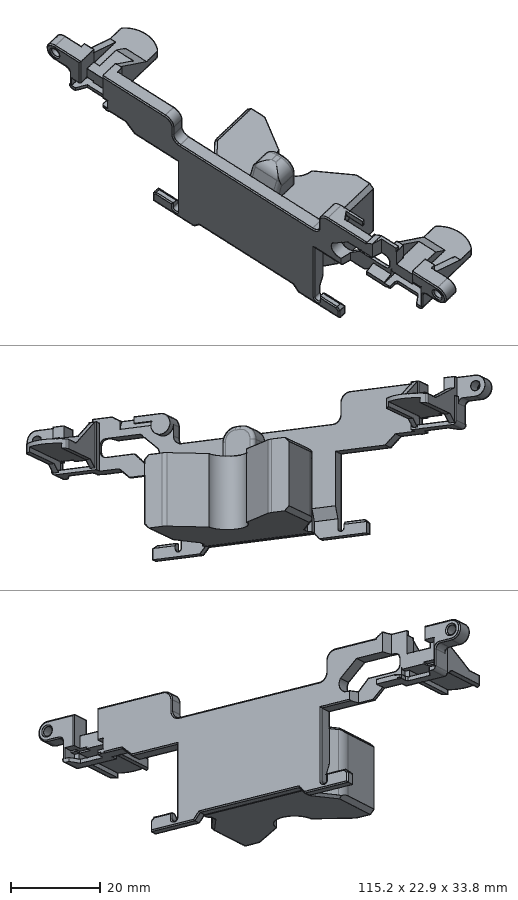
import cadquery as cq

plate_thickness = 3.17
edge_chamfer = 0.3
wing_top = 32.7
wing_underside = 21.65
wing_inner_x = 21.05
wing_outer_x = 41.5
wing_corner_radius = 2.4
wing_root_radius = 2.0
saddle_z = 25.65
shoulder_z = 19.36
shoulder_slope_x = (32.2, 34.8)
web_half_width = 19.7
web_bottom = 1.67
relief_slope_x = (13.5, 15.0)

foot_end_x = 26.9
foot_top = 3.3
foot_corner = 0.8
foot_notch_width = 1.5
foot_notch_bottom = 1.1
foot_thickness = 2.0
foot_bevel = 0.7
taper_z = (4.05, 6.8)

bracket_depth = 4.8
post_outer_x = -50.9
post_corner_radius = 0.9
post_gap_x = -47.8
inner_post_end_x = -39.6
lug_thickness = 3.7
lug_radius = 2.43
overall_length = 115.15
lug_center_x = -overall_length / 2 + lug_radius
lug_center_z = wing_top - lug_radius
lug_hole_radius = 1.15
lug_root_radius = 1.2
gap_wall_front = 2.4
gap_wall_top = 28.25
ledge_top = 22.6
window_x = (-49.1, -41.15)
window_front_x = (-50.3, -39.9)
window_front_top = 25.2
window_front_depth = 3.8
ledge_notch_floor_x = (-47.7, -41.8)
ledge_notch_mouth_x = (-49.2, -40.5)

arm_x = (-50.5, -40.0)
arm_mid_x = sum(arm_x) / 2
pad_top = 25.8
pad_bottom = 24.78
pad_tip_y = 20.0
pad_shoulder_y = 17.9
skirt_bottom = 23.65
pad_corner_radius = 1.0
skirt_slope_y = 7.0
skirt_root_z = 22.1
gusset_end_y = 13.9
outer_gusset_top = 30.1
outer_gusset_inner_x = -48.9
inner_gusset_outer_x = -41.2
block_outer_x = -46.1

guide_z = (1.5, 18.45)
guide_half_width = 18.15
guide_depth = 22.87
guide_tip_x = 13.2
guide_side_y = 11.2
guide_neck_x = 13.0
guide_neck_y = 4.6
guide_flare_y = 3.9
guide_root_x = 13.8
throat_radius = 4.75
throat_center_y = 17.8
throat_edge_x = 4.74
throat_edge_y = 17.5
guide_side_chamfer = 1.05
guide_flank_chamfer = 0.65
guide_corner_radius = 4.0
guide_tip_radius = 2.0
guide_root_fillet = 0.8
knob_half_width = 4.1
knob_front_y = 5.0
knob_crest_y = 7.9
knob_back_y = 12.65
knob_top = 25.5
knob_arch_radius = 3.5
knob_crest_radius = 3.0
knob_edge_radius = 1.0

raised_top = 33.8
raised_x = (35.6, 41.4)
raised_ramp = 0.9
recess_wall_run = 0.7
recess_x = (36.5, 50.5)
recess_lug_z = 29.4
lower_recess_x = 27.5
lower_recess_top = 26.0
shelf_x = (34.8, 40.5)
shelf_front_top = 22.8
shelf_back_top = 23.5
slot_z = (24.65, 29.0)
slot_bend_top_x = 29.4
slot_bend_bottom_x = 30.9
slot_end_lower = (28.5, 22.3)
slot_end_tip = (25.4, 22.2)
slot_end_upper = (25.0, 25.2)
slot_right_x = 39.5
slot_corner_radius = 1.5
bevel_x = (23.5, 34.5)
bevel_top_y = 2.3
bevel_height = 2.0
hook_back_y = 4.9
hook_root_x = 25.0
hook_root_flare = 1.6
hook_tip_x = 30.1
hook_tip_thickness = 0.6
hook_tip_height = 1.5


def box(x_range, y_range, z_range):
    """Box between the given limits."""
    size = [high - low for low, high in (x_range, y_range, z_range)]
    return cq.Workplane("XY").box(*size, centered=False).translate((x_range[0], y_range[0], z_range[0]))


def front_sketch(y=0.0):
    """Sketch plane parallel to the front face, at the given Y."""
    return cq.Workplane("XZ", origin=(0, y, 0))


def extrude_back(sketch, length):
    """Extrude a front sketch toward +Y."""
    return sketch.extrude(-length)


def side_prism(points, x_range):
    """Prism along X from (y, z) corner points."""
    sketch = cq.Workplane("YZ", origin=(x_range[0], 0, 0)).polyline(points).close()
    return sketch.extrude(x_range[1] - x_range[0])


def plan_prism(points, z_range):
    """Prism along Z from (x, y) corner points."""
    sketch = cq.Workplane("XY", origin=(0, 0, z_range[0])).polyline(points).close()
    return sketch.extrude(z_range[1] - z_range[0])


def mirror_x(body):
    return body.mirror("YZ")


def make_plate():
    """Symmetrical plate with wings, feet and a thinned bottom."""
    notch_outer_x = web_half_width + foot_notch_width
    notch_radius = foot_notch_width / 2
    half = (
        front_sketch()
        .moveTo(0, saddle_z)
        .lineTo(-wing_inner_x, saddle_z)
        .lineTo(-wing_inner_x, wing_top)
        .lineTo(-wing_outer_x, wing_top)
        .lineTo(-wing_outer_x, wing_underside)
        .lineTo(-shoulder_slope_x[1], wing_underside)
        .lineTo(-shoulder_slope_x[0], shoulder_z)
        .lineTo(-web_half_width, shoulder_z)
        .lineTo(-web_half_width, foot_notch_bottom + notch_radius)
        .threePointArc(
            (-web_half_width - notch_radius, foot_notch_bottom),
            (-notch_outer_x, foot_notch_bottom + notch_radius),
        )
        .lineTo(-notch_outer_x, foot_top)
        .lineTo(-foot_end_x + foot_corner, foot_top)
        .lineTo(-foot_end_x, foot_top - foot_corner)
        .lineTo(-foot_end_x, 0)
        .lineTo(-relief_slope_x[1], 0)
        .lineTo(-relief_slope_x[0], web_bottom)
        .lineTo(0, web_bottom)
        .close()
    )
    half = extrude_back(half, plate_thickness)
    corner = cq.selectors.NearestToPointSelector((-wing_inner_x, plate_thickness / 2, wing_top))
    root = cq.selectors.NearestToPointSelector((-wing_inner_x, plate_thickness / 2, saddle_z))
    half = half.edges(corner).fillet(wing_corner_radius).edges(root).fillet(wing_root_radius)
    plate = half.union(mirror_x(half))
    plate = plate.faces("<Y").edges().chamfer(edge_chamfer)
    thinned_back = side_prism(
        [
            (foot_thickness, 0),
            (foot_thickness, taper_z[0]),
            (plate_thickness, taper_z[1]),
            (plate_thickness, 0),
        ],
        (-foot_end_x, foot_end_x),
    )
    foot_bevel_waste = side_prism(
        [
            (foot_thickness, foot_top),
            (foot_thickness, foot_top - foot_bevel),
            (foot_thickness - foot_bevel, foot_top),
        ],
        (-foot_end_x, -notch_outer_x),
    )
    return plate.cut(thinned_back).cut(foot_bevel_waste).cut(mirror_x(foot_bevel_waste))


def make_lug():
    """Rounded lug with a countersunk hole, joined to the outer post."""
    lug_bottom = lug_center_z - lug_radius
    lug = (
        front_sketch()
        .moveTo(post_gap_x, wing_top)
        .lineTo(lug_center_x, wing_top)
        .threePointArc((lug_center_x - lug_radius, lug_center_z), (lug_center_x, lug_bottom))
        .lineTo(post_outer_x - lug_root_radius, lug_bottom)
        .radiusArc((post_outer_x, lug_bottom - lug_root_radius), lug_root_radius)
        .lineTo(post_outer_x, wing_underside)
        .lineTo(post_gap_x, wing_underside)
        .close()
    )
    lug = extrude_back(lug, lug_thickness)
    lug = lug.faces("<Y").edges().chamfer(edge_chamfer)
    hole_circle = front_sketch().center(lug_center_x, lug_center_z).circle(lug_hole_radius)
    hole = extrude_back(hole_circle, lug_thickness)
    countersink = cq.Solid.makeCone(
        lug_hole_radius + edge_chamfer,
        lug_hole_radius,
        edge_chamfer,
        pnt=cq.Vector(lug_center_x, 0, lug_center_z),
        dir=cq.Vector(0, 1, 0),
    )
    return lug.cut(hole).cut(cq.Workplane(countersink))


def make_corner_cutter():
    """Waste outside the rounded lower outer corner of the bracket."""
    corner_top = wing_underside + post_corner_radius
    cutter = (
        front_sketch()
        .moveTo(post_outer_x, corner_top)
        .lineTo(post_outer_x, wing_underside)
        .lineTo(post_outer_x + post_corner_radius, wing_underside)
        .radiusArc((post_outer_x, corner_top), post_corner_radius)
        .close()
    )
    return extrude_back(cutter, bracket_depth)


def make_bracket():
    """Lug, posts, gap wall and ledge of the -X end."""
    post_z = (wing_underside, wing_top)
    outer_post = box((arm_x[0], post_gap_x), (gap_wall_front, bracket_depth), post_z)
    inner_post = box((-wing_outer_x, inner_post_end_x), (gap_wall_front, bracket_depth), post_z)
    gap_wall = box(
        (post_outer_x, inner_post_end_x), (gap_wall_front, bracket_depth), (wing_underside, gap_wall_top)
    )
    ledge = box((post_outer_x, inner_post_end_x), (0, bracket_depth), (wing_underside, ledge_top))
    ledge_notch = plan_prism(
        [
            (ledge_notch_mouth_x[0], 0),
            (ledge_notch_floor_x[0], gap_wall_front),
            (ledge_notch_floor_x[1], gap_wall_front),
            (ledge_notch_mouth_x[1], 0),
        ],
        (wing_underside, ledge_top),
    )
    bracket = make_lug().union(outer_post).union(inner_post).union(gap_wall).union(ledge)
    return bracket.cut(ledge_notch).cut(make_corner_cutter())


def cut_window(body):
    """Window under the lever arm with its wider opening at the front."""
    opening = box(window_front_x, (0, window_front_depth), (ledge_top, window_front_top))
    window = box(window_x, (0, bracket_depth), (ledge_top, pad_bottom))
    return body.cut(opening).cut(window)


def make_arm_plan():
    """Full-height prism over the plan of the lever arm, with its domed tip."""
    plan = (
        cq.Workplane("XY")
        .moveTo(arm_x[0], bracket_depth)
        .lineTo(arm_x[0], pad_shoulder_y)
        .threePointArc((arm_mid_x, pad_tip_y), (arm_x[1], pad_shoulder_y))
        .lineTo(arm_x[1], bracket_depth)
        .close()
        .extrude(wing_top)
    )
    for x in arm_x:
        corner = cq.selectors.NearestToPointSelector((x, pad_shoulder_y, wing_top / 2))
        plan = plan.edges(corner).fillet(pad_corner_radius)
    return plan


def gusset(x_range, top):
    """Triangular stiffener rising from the pad to the bracket."""
    corners = [
        (gap_wall_front, pad_bottom),
        (gap_wall_front, top),
        (bracket_depth, top),
        (gusset_end_y, pad_top),
        (gusset_end_y, pad_bottom),
    ]
    return side_prism(corners, x_range)


def make_arm():
    """Lever arm: domed pad with side skirts, gussets and a central block."""
    plan = make_arm_plan()
    pad = plan.intersect(box(arm_x, (0, pad_tip_y), (pad_bottom, pad_top)))
    skirt_profile = [
        (bracket_depth, skirt_root_z),
        (skirt_slope_y, skirt_bottom),
        (pad_tip_y, skirt_bottom),
        (pad_tip_y, pad_bottom),
        (bracket_depth, pad_bottom),
    ]
    outer_skirt = side_prism(skirt_profile, (arm_x[0], window_x[0])).intersect(plan)
    inner_skirt = side_prism(skirt_profile, (window_x[1], arm_x[1])).intersect(plan)
    outer_gusset = gusset((arm_x[0], outer_gusset_inner_x), outer_gusset_top)
    inner_gusset = gusset((inner_gusset_outer_x, arm_x[1]), wing_top)
    block_limit = box((block_outer_x, arm_x[1]), (0, gusset_end_y), (0, gap_wall_top))
    block = gusset((block_outer_x, inner_gusset_outer_x), wing_top).intersect(block_limit)
    return pad.union(outer_skirt).union(inner_skirt).union(outer_gusset).union(inner_gusset).union(block)


def make_guide():
    """Guide block with a throat between its two rear tips."""
    height = guide_z[1] - guide_z[0]
    outline = (
        cq.Workplane("XY")
        .moveTo(-guide_root_x, foot_thickness)
        .lineTo(-guide_root_x, plate_thickness)
        .lineTo(-guide_neck_x, guide_flare_y)
        .lineTo(-guide_neck_x, guide_neck_y)
        .lineTo(-guide_half_width, guide_side_y)
        .lineTo(-guide_half_width, guide_depth)
        .lineTo(-guide_tip_x, guide_depth)
        .lineTo(-throat_edge_x, throat_edge_y)
        .threePointArc((0, throat_center_y - throat_radius), (throat_edge_x, throat_edge_y))
        .lineTo(guide_tip_x, guide_depth)
        .lineTo(guide_half_width, guide_depth)
        .lineTo(guide_half_width, guide_side_y)
        .lineTo(guide_neck_x, guide_neck_y)
        .lineTo(guide_neck_x, guide_flare_y)
        .lineTo(guide_root_x, plate_thickness)
        .lineTo(guide_root_x, foot_thickness)
        .close()
    )
    guide = outline.extrude(height).translate((0, 0, guide_z[0]))
    mid_z = sum(guide_z) / 2
    side_mid = (guide_half_width, (guide_side_y + guide_depth) / 2)
    flank_mid = ((guide_half_width + guide_neck_x) / 2, (guide_side_y + guide_neck_y) / 2)
    for sign in (-1, 1):
        for z in guide_z:
            side_edge = cq.selectors.NearestToPointSelector((sign * side_mid[0], side_mid[1], z))
            guide = guide.edges(side_edge).chamfer(guide_side_chamfer)
            flank_edge = cq.selectors.NearestToPointSelector((sign * flank_mid[0], flank_mid[1], z))
            guide = guide.edges(flank_edge).chamfer(guide_flank_chamfer)
        corner = cq.selectors.NearestToPointSelector((sign * guide_half_width, guide_side_y, mid_z))
        guide = guide.edges(corner).fillet(guide_corner_radius)
        tip = cq.selectors.NearestToPointSelector((sign * guide_tip_x, guide_depth, mid_z))
        guide = guide.edges(tip).fillet(guide_tip_radius)
    root_fillet = (
        cq.Workplane("YZ", origin=(-guide_neck_x, 0, 0))
        .moveTo(plate_thickness, guide_z[1])
        .lineTo(plate_thickness, guide_z[1] + guide_root_fillet)
        .radiusArc((plate_thickness + guide_root_fillet, guide_z[1]), -guide_root_fillet)
        .close()
        .extrude(2 * guide_neck_x)
    )
    return guide.union(root_fillet)


def make_knob():
    """Arched knob with a sloping front on top of the guide block."""
    profile = [
        (knob_front_y, guide_z[1]),
        (knob_crest_y, knob_top),
        (knob_back_y, knob_top),
        (knob_back_y, guide_z[0]),
        (knob_front_y, guide_z[0]),
    ]
    knob = side_prism(profile, (-knob_half_width, knob_half_width))
    crest = cq.selectors.NearestToPointSelector((0, knob_crest_y, knob_top))
    knob = knob.edges(crest).fillet(knob_crest_radius)
    slope_mid = ((knob_front_y + knob_crest_y) / 2, (guide_z[1] + knob_top) / 2)
    for x in (-knob_half_width, knob_half_width):
        slope_edge = cq.selectors.NearestToPointSelector((x, *slope_mid))
        knob = knob.edges(slope_edge).fillet(knob_edge_radius)
    arch = box((-knob_half_width, knob_half_width), (0, knob_back_y), (0, knob_top))
    arch = arch.faces(">Z").edges("|Y").fillet(knob_arch_radius)
    arch = arch.faces(">Y").edges("not <Z").fillet(knob_edge_radius)
    return knob.intersect(arch)


def cut_slot(body):
    """Bent cam slot: a level run that drops to a rounded lower end."""
    slot = (
        front_sketch()
        .moveTo(slot_bend_top_x, slot_z[1])
        .lineTo(slot_right_x - slot_corner_radius, slot_z[1])
        .radiusArc((slot_right_x, slot_z[1] - slot_corner_radius), slot_corner_radius)
        .lineTo(slot_right_x, slot_z[0] + slot_corner_radius)
        .radiusArc((slot_right_x - slot_corner_radius, slot_z[0]), slot_corner_radius)
        .lineTo(slot_bend_bottom_x, slot_z[0])
        .lineTo(*slot_end_lower)
        .threePointArc(slot_end_tip, slot_end_upper)
        .close()
    )
    return body.cut(extrude_back(slot, bracket_depth))


def add_raised_edge(body):
    """Raised top edge beside the +X bracket."""
    raised = (
        front_sketch()
        .moveTo(raised_x[0] - raised_ramp, wing_top - raised_ramp)
        .lineTo(raised_x[0] - raised_ramp, wing_top)
        .lineTo(raised_x[0] + raised_ramp, raised_top)
        .lineTo(raised_x[1], raised_top)
        .lineTo(raised_x[1], wing_top - raised_ramp)
        .close()
    )
    return body.union(extrude_back(raised, plate_thickness))


def cut_front_recess(body):
    """Thinned front face around the slot, leaving a shelf along the underside."""
    floor_start_x = recess_x[0] + recess_wall_run
    lower_floor_x = lower_recess_x + recess_wall_run
    beside_lug = plan_prism(
        [(recess_x[0], 0), (floor_start_x, gap_wall_front), (-post_gap_x, gap_wall_front), (-post_gap_x, 0)],
        (ledge_top, raised_top),
    )
    under_lug = plan_prism(
        [
            (-post_gap_x, 0),
            (-post_gap_x, gap_wall_front),
            (recess_x[1] - recess_wall_run, gap_wall_front),
            (recess_x[1], 0),
        ],
        (ledge_top, recess_lug_z),
    )
    below_slot = plan_prism(
        [
            (lower_recess_x, 0),
            (lower_floor_x, gap_wall_front),
            (floor_start_x, gap_wall_front),
            (floor_start_x, 0),
        ],
        (shoulder_z, lower_recess_top),
    )
    shelf = side_prism(
        [
            (0, wing_underside),
            (0, shelf_front_top),
            (gap_wall_front, shelf_back_top),
            (gap_wall_front, wing_underside),
        ],
        shelf_x,
    )
    return body.cut(beside_lug).cut(under_lug).cut(below_slot).union(shelf)


def cut_back_bevel(body):
    """Steep bevel along the rear top edge of the +X wing."""
    bevel = side_prism(
        [
            (bevel_top_y, wing_top),
            (plate_thickness, wing_top),
            (plate_thickness, wing_top - bevel_height),
        ],
        bevel_x,
    )
    return body.cut(bevel)


def make_hook():
    """Round boss with a thin finger behind the +X wing."""
    boss_x = wing_inner_x + wing_corner_radius
    boss_z = wing_top - wing_corner_radius
    overlap_y = bevel_top_y
    depth = hook_back_y - overlap_y
    boss = extrude_back(front_sketch(overlap_y).center(boss_x, boss_z).circle(wing_corner_radius), depth)
    finger_z = (wing_top - hook_tip_height, wing_top)
    arm = plan_prism(
        [
            (boss_x, overlap_y),
            (boss_x, hook_back_y),
            (hook_root_x, hook_back_y),
            (hook_root_x + hook_root_flare, overlap_y),
        ],
        finger_z,
    )
    finger = box((boss_x, hook_tip_x), (hook_back_y - hook_tip_thickness, hook_back_y), finger_z)
    return boss.union(arm).union(finger)


bracket = make_bracket()
arm = make_arm()
part = make_plate()
part = part.union(bracket).union(mirror_x(bracket))
part = add_raised_edge(part)
part = cut_back_bevel(part)
part = cut_front_recess(part)
part = cut_slot(part)
part = cut_window(part)
part = mirror_x(cut_window(mirror_x(part)))
part = part.union(arm).union(mirror_x(arm))
part = part.union(make_hook())
part = part.union(make_guide()).union(make_knob())
result = part